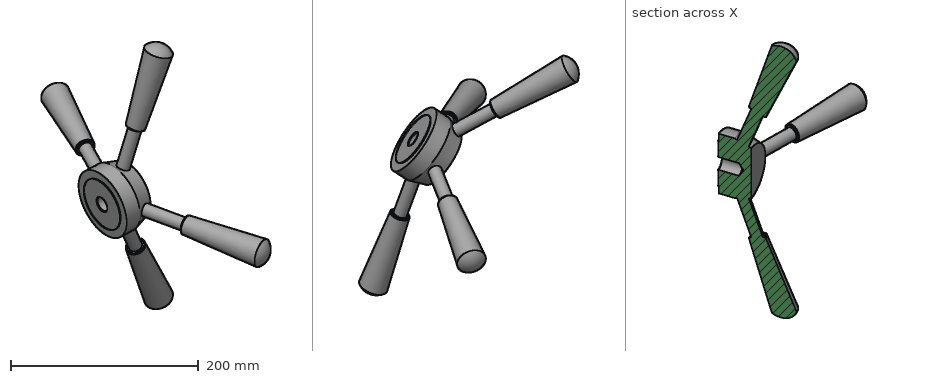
import cadquery as cq
import math

hub_diameter = 80.0
hub_back_diameter = 67.0
hub_rim_depth = 19.8
hub_depth = 40.0
pad_diameter = 60.0
pad_height = 1.0

bore_diameter = 16.2
bore_depth = 25.2
bore_mouth_diameter = 18.0
bore_tip_angle = 118.0

arm_count = 4
arm_span = 360.0
arm_angle = 20.0
arm_root_y = 16.5
rod_diameter = 15.0
rod_start = 28.8
grip_length = 93.5
grip_small_diameter = 22.0
grip_large_diameter = 32.0
collar_diameter = 19.5
collar_length = 1.0
dome_height = 8.0


def make_hub():
    """Hub with a raised front pad, a straight rim and a tapered back."""
    profile = [
        (0, 0),
        (pad_diameter / 2, 0),
        (pad_diameter / 2, pad_height),
        (hub_diameter / 2, pad_height),
        (hub_diameter / 2, hub_rim_depth),
        (hub_back_diameter / 2, hub_depth),
        (0, hub_depth),
    ]
    return cq.Workplane("XY").polyline(profile).close().revolve(360, (0, 0), (0, 1))


def make_bore():
    """Cutting solid for the blind bore."""
    mouth_depth = (bore_mouth_diameter - bore_diameter) / 2
    tip_depth = bore_diameter / 2 / math.tan(math.radians(bore_tip_angle / 2))
    profile = [
        (0, 0),
        (bore_mouth_diameter / 2, 0),
        (bore_diameter / 2, mouth_depth),
        (bore_diameter / 2, bore_depth),
        (0, bore_depth + tip_depth),
    ]
    return cq.Workplane("XY").polyline(profile).close().revolve(360, (0, 0), (0, 1))


def make_arm():
    """Rod and grip turned about +X, then leaned back and moved to the hub."""
    grip_radius = grip_large_diameter / 2
    dome_radius = (grip_radius**2 + dome_height**2) / (2 * dome_height)
    half_angle = math.asin(grip_radius / dome_radius) / 2
    dome_center = (arm_span / 2 - dome_radius) / math.cos(math.radians(arm_angle))
    grip_end = dome_center + dome_radius - dome_height
    grip_start = grip_end - grip_length
    dome_middle = (
        dome_center + dome_radius * math.cos(half_angle),
        dome_radius * math.sin(half_angle),
    )
    arm = (
        cq.Workplane("XY")
        .moveTo(rod_start, 0)
        .lineTo(rod_start, rod_diameter / 2)
        .lineTo(grip_start - collar_length, rod_diameter / 2)
        .lineTo(grip_start - collar_length, collar_diameter / 2)
        .lineTo(grip_start, collar_diameter / 2)
        .lineTo(grip_start, grip_small_diameter / 2)
        .lineTo(grip_end, grip_radius)
        .threePointArc(dome_middle, (grip_end + dome_height, 0))
        .close()
        .revolve(360, (0, 0), (1, 0))
    )
    leaned = arm.rotate((0, 0, 0), (0, 0, 1), arm_angle)
    return leaned.translate((0, arm_root_y, 0))


result = make_hub()
arm = make_arm()
for index in range(arm_count):
    turn = index * 360 / arm_count
    result = result.union(arm.rotate((0, 0, 0), (0, 1, 0), turn))
result = result.cut(make_bore())